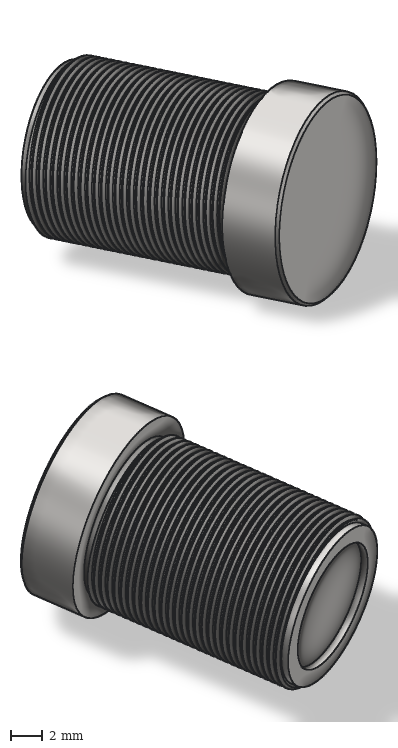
import cadquery as cq
import math

total_length = 19.18
head_length = 4.0
head_radius = 7.0
head_chamfer = 0.2
core_radius = 5.6
head_start = total_length - head_length

recess_radius = 4.4
recess_depth = 0.5

pitch = 0.5
crest_radius = 6.0
thread_relief = 0.5
thread_start = thread_relief
thread_end = head_start - thread_relief
first_crest_offset = 0.33
flank_angle = math.radians(30)
sharp_height = pitch / (2 * math.tan(flank_angle))
thread_depth = 5 / 8 * sharp_height
root_radius = crest_radius - thread_depth
crest_flat = pitch / 8
root_embed = 0.02
overrun = 2 * pitch


def x_cylinder(radius, start, end):
    """Cylinder about the X axis between two x positions."""
    return cq.Workplane("YZ", origin=(start, 0, 0)).circle(radius).extrude(end - start)


def make_head():
    """Flange with a chamfered outer rim."""
    return x_cylinder(head_radius, head_start, total_length).faces(">X").chamfer(head_chamfer)


def make_ridge():
    """Helical 60 degree ridge, overrunning the thread at both ends."""
    base_radius = root_radius - root_embed
    half_crest = crest_flat / 2
    half_base = half_crest + (crest_radius - base_radius) * math.tan(flank_angle)
    ridge_start = thread_start + first_crest_offset - overrun
    ridge_length = thread_end - ridge_start + overrun

    profile = [
        (base_radius, -half_base),
        (crest_radius, -half_crest),
        (crest_radius, half_crest),
        (base_radius, half_base),
    ]
    path = cq.Wire.makeHelix(pitch, ridge_length, crest_radius)
    ridge = cq.Workplane("XZ").polyline(profile).close().sweep(path, isFrenet=True)
    ridge = ridge.rotate((0, 0, 0), (0, 1, 0), 90).rotate((0, 0, 0), (1, 0, 0), 180)
    return ridge.translate((ridge_start, 0, 0))


def make_thread():
    """Root cylinder with the ridge, trimmed to the threaded length."""
    envelope = x_cylinder(crest_radius + pitch, thread_start, thread_end)
    ridge = make_ridge().intersect(envelope)
    return x_cylinder(root_radius, thread_start, thread_end).union(ridge)


core = x_cylinder(core_radius, 0, head_start)
recess = x_cylinder(recess_radius, 0, recess_depth)
result = make_thread().union(core).union(make_head()).cut(recess)